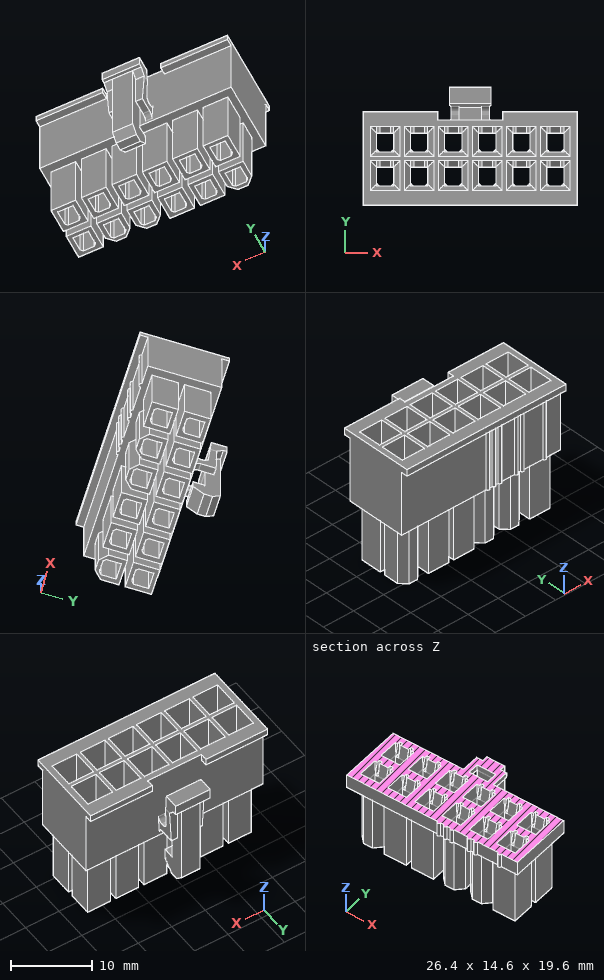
import cadquery as cq
import math

length = 26.4
total_height = 19.6
overlap = 0.26

post_height = 8.95
flange_thickness = 1.0
flange_half_depth = 5.78
body_half_depth = 4.78
notch_width = 8.0

columns = 6
rows = 2
pitch = 4.2
front_bevelled_columns = (0, 3, 4)

post_size = 3.4
post_bevel = 1.0
post_shift = -0.13

cavity_size = 3.67
hole_width = 2.1
hole_depth = 2.27
hole_bevel = 0.32
funnel_depth = 3.6
hole_front = post_shift - hole_depth / 2
hole_back = post_shift + hole_depth / 2
funnel_inset = cavity_size / 2 - hole_back
cavity_floor = 0.26
funnel_bottom = post_height + cavity_floor
funnel_top = funnel_bottom + funnel_depth
tongue_width = 1.3

rib_radius = 0.26
rib_pitch = 1.0
rib_group_pitch = 4.7
first_rib_x = 1.08
ribs_per_group = (3, 2, 1)

latch_back = 8.82
latch_top = 17.7
pad_width = 5.15
pad_front = 6.75
pad_height = 1.5
plate_width = 2.8
plate_back = 8.32
plate_front = 6.3
plate_tip = 2.8
plate_tip_front = 6.18
plate_tip_bevel = 1.03
hook_top = 5.8
hook_rise = 0.08
hook_side_bottom = 4.25
arm_back = 7.47
arm_top = 15.29
arm_bottom = 10.22
arm_draft_angle = 3.0
neck_top = 11.55
neck_fillet = 0.7
corner_margin = 0.03


def block(x_size, y_min, y_max, z_min, z_max):
    """Box centred on X = 0 between the given Y and Z limits."""
    box = cq.Workplane("XY").box(x_size, y_max - y_min, z_max - z_min, centered=(True, False, False))
    return box.translate((0, y_min, z_min))


def side_extrude(points, width):
    """Closed (Y, Z) outline extruded symmetrically along X."""
    return cq.Workplane("YZ").polyline(points).close().extrude(width / 2, both=True)


def cell_centres():
    """(column, row, x, y) of every cavity; row 0 is the front row."""
    cells = []
    for row in range(rows):
        for column in range(columns):
            x = (column - (columns - 1) / 2) * pitch
            y = (row - (rows - 1) / 2) * pitch
            cells.append((column, row, x, y))
    return cells


def make_housing():
    flange_bottom = total_height - flange_thickness
    flange = block(length, -flange_half_depth, flange_half_depth, flange_bottom, total_height)
    notch = block(notch_width, body_half_depth, flange_half_depth, 0, total_height)
    body = block(length, -body_half_depth, body_half_depth, post_height, total_height)
    return body.union(flange.cut(notch))


def make_ribs():
    """Half-round vertical ribs, in groups of three, two and one."""
    points = []
    for group, count in enumerate(ribs_per_group):
        for index in range(count):
            x = first_rib_x + group * rib_group_pitch + index * rib_pitch
            points.append((x, -body_half_depth))
    rib_length = total_height - flange_thickness - post_height
    base = cq.Workplane("XY", origin=(0, 0, post_height))
    return base.pushPoints(points).circle(rib_radius).extrude(rib_length)


def make_post(bevelled):
    post = block(post_size, -post_size / 2, post_size / 2, 0, post_height + overlap)
    if bevelled:
        post = post.faces("<Y").edges("|Z").chamfer(post_bevel)
    return post.translate((0, post_shift, 0))


def make_cavity():
    """Square well, four-sided funnel, grooved step and through hole of one terminal."""
    half = cavity_size / 2
    well = block(cavity_size, -half, half, funnel_top, total_height)
    throat = cavity_size - 2 * funnel_inset
    funnel = (
        cq.Workplane("XY", origin=(0, 0, funnel_top))
        .rect(cavity_size, cavity_size)
        .workplane(offset=-funnel_depth)
        .rect(throat, throat)
        .loft(ruled=True)
    )
    step = block(hole_width, hole_front, half, funnel_bottom, funnel_top)
    tongue = block(tongue_width, hole_back, half, funnel_bottom, funnel_top).cut(funnel)
    hole = block(hole_width, hole_front, hole_back, 0, funnel_bottom)
    hole = hole.faces("<Y").edges("|Z").chamfer(hole_bevel)
    return well.union(funnel).union(step.cut(tongue)).union(hole)


def latch_front(z):
    """Y of the leaning front face of the latch at height z."""
    slope = (pad_front - plate_front) / (latch_top - arm_bottom)
    return plate_front + slope * (z - arm_bottom)


def make_latch():
    pad = side_extrude(
        [
            (latch_back, latch_top),
            (latch_back, latch_top - pad_height),
            (plate_back, latch_top - pad_height),
            (arm_back, arm_top),
            (latch_front(arm_top), arm_top),
            (pad_front, latch_top),
        ],
        pad_width,
    )
    plate = side_extrude(
        [
            (plate_back, latch_top - pad_height),
            (plate_back, plate_tip + plate_tip_bevel),
            (plate_back - plate_tip_bevel, plate_tip),
            (plate_tip_front, plate_tip),
            (body_half_depth, hook_side_bottom),
            (body_half_depth, hook_top + hook_rise),
            (plate_front, hook_top),
            (plate_front, arm_bottom),
            (latch_front(arm_top), arm_top),
        ],
        plate_width,
    )
    return pad.union(plate).union(make_arms())


def make_arms():
    """Two arms that carry the latch, with sides that draw in towards the bottom."""
    neck_root = body_half_depth - overlap
    root_bottom = arm_bottom - neck_fillet - overlap
    root_top = neck_top + neck_fillet + overlap
    arm = side_extrude(
        [
            (arm_back, arm_top),
            (arm_back, arm_bottom),
            (body_half_depth, arm_bottom),
            (body_half_depth, root_bottom),
            (neck_root, root_bottom),
            (neck_root, root_top),
            (body_half_depth, root_top),
            (body_half_depth, neck_top),
            (latch_front(neck_top), neck_top),
            (latch_front(arm_top), arm_top),
        ],
        pad_width,
    )
    inner_corners = cq.selectors.BoxSelector(
        (-pad_width, body_half_depth - corner_margin, arm_bottom - corner_margin),
        (pad_width, latch_front(neck_top) + corner_margin, neck_top + corner_margin),
    )
    arm = arm.edges("|X").edges(inner_corners).fillet(neck_fillet)
    drop = arm_top - root_bottom
    top_half = pad_width / 2
    bottom_half = top_half - drop * math.tan(math.radians(arm_draft_angle))
    drafted = (
        cq.Workplane("XZ")
        .polyline(
            [
                (-top_half, arm_top),
                (top_half, arm_top),
                (bottom_half, root_bottom),
                (-bottom_half, root_bottom),
            ]
        )
        .close()
        .extrude(-latch_back)
    )
    gap = block(plate_width, 0, latch_back, 0, latch_top)
    return arm.intersect(drafted).cut(gap)


result = make_housing().union(make_ribs()).union(make_latch())
for column, row, x, y in cell_centres():
    bevelled = row == 0 and column in front_bevelled_columns
    result = result.union(make_post(bevelled).translate((x, y, 0)))

cavity = make_cavity()
for _, _, x, y in cell_centres():
    result = result.cut(cavity.translate((x, y, 0)))